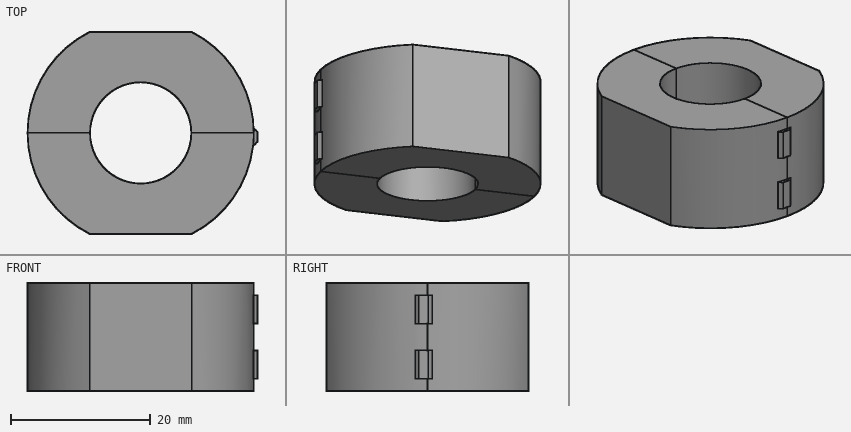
import cadquery as cq

overall_length = 33.0
outer_diameter = 32.47
bore_diameter = 14.5
across_flats = 29.0
height = 15.5

outer_radius = outer_diameter / 2

tab_tip_x = overall_length - outer_radius
tab_center_y = -0.55
tab_root_width = 2.45
tab_tip_width = 1.4
tab_height = 4.1
tab_end_margin = 1.75
tab_root_x = tab_tip_x - (tab_root_width - tab_tip_width) / 2
tab_embed_x = outer_radius - 0.33

lower_tab_z = tab_end_margin
upper_tab_z = height - tab_end_margin - tab_height


def make_outer_cylinder():
    return cq.Workplane("XY").circle(outer_radius).extrude(height)


def make_half(side):
    """Half of the flatted ring: side is +1 for +Y and -1 for -Y."""
    half_depth = across_flats / 2
    half_space = (
        cq.Workplane("XY")
        .center(0, side * half_depth / 2)
        .rect(outer_diameter, half_depth)
        .extrude(height)
    )
    bore = cq.Workplane("XY").circle(bore_diameter / 2).extrude(height)
    return make_outer_cylinder().intersect(half_space).cut(bore)


def make_tab(bottom_z):
    """Tapered tab whose inner face follows the outer cylinder."""
    root_half = tab_root_width / 2
    tip_half = tab_tip_width / 2
    outline = [
        (tab_embed_x, tab_center_y - root_half),
        (tab_root_x, tab_center_y - root_half),
        (tab_tip_x, tab_center_y - tip_half),
        (tab_tip_x, tab_center_y + tip_half),
        (tab_root_x, tab_center_y + root_half),
        (tab_embed_x, tab_center_y + root_half),
    ]
    tab = cq.Workplane("XY").workplane(offset=bottom_z).polyline(outline).close().extrude(tab_height)
    return tab.cut(make_outer_cylinder())


back_half = make_half(1)

front_half = make_half(-1)
for bottom_z in (lower_tab_z, upper_tab_z):
    front_half = front_half.union(make_tab(bottom_z))

result = cq.Compound.makeCompound([back_half.val(), front_half.val()])